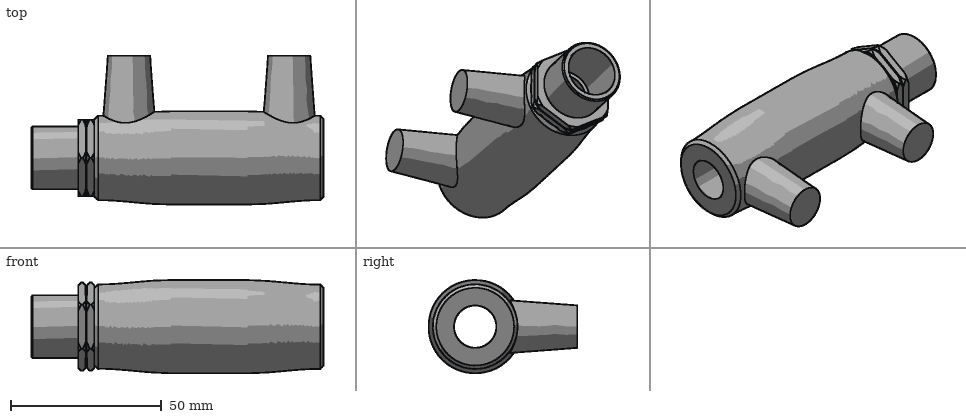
import cadquery as cq
import math

total_length = 97.0
spigot_length = 15.5
nut_width = 2.5
nut_gap = 0.4
nut_starts = [spigot_length, spigot_length + nut_width + nut_gap]
body_start = nut_starts[-1] + nut_width
belt_length = 25.4

belt_radius = 15.5
end_radius = 14.1
body_chamfer = 1.2

spigot_radius = 21.0 / 2
spigot_chamfer = 0.5
wide_bore_radius = 16.8 / 2
narrow_bore_radius = 14.0 / 2

nut_across_flats = 25.4
nut_across_corners = nut_across_flats / math.cos(math.radians(30))
nut_chamfer = 1.0

branch_centers = [32.4, 85.6]
branch_reach = 33.95
branch_tip_radius = 7.1
branch_taper = 4.3


def cylinder_x(radius, start, length):
    """Cylinder around the X axis."""
    return cq.Workplane("YZ", origin=(start, 0, 0)).circle(radius).extrude(length)


def make_body():
    """Revolved body with S-shaped transitions on both sides of the belt."""
    body_middle = (body_start + total_length) / 2
    belt_start = body_middle - belt_length / 2
    belt_end = body_middle + belt_length / 2
    rim_radius = end_radius - body_chamfer
    along_axis = (1, 0)
    profile = (
        cq.Workplane("XY")
        .moveTo(body_start, 0)
        .lineTo(body_start, rim_radius)
        .lineTo(body_start + body_chamfer, end_radius)
        .spline([(belt_start, belt_radius)], tangents=[along_axis, along_axis], includeCurrent=True)
        .lineTo(belt_end, belt_radius)
        .spline(
            [(total_length - body_chamfer, end_radius)],
            tangents=[along_axis, along_axis],
            includeCurrent=True,
        )
        .lineTo(total_length, rim_radius)
        .lineTo(total_length, 0)
        .close()
    )
    return profile.revolve(360, (0, 0, 0), (1, 0, 0))


def make_spigot():
    """Spigot with a chamfered mouth that also forms the neck under the nuts."""
    return cylinder_x(spigot_radius, 0, body_start).faces("<X").chamfer(spigot_chamfer)


def make_nut(start):
    """Hexagon with corners up and down, bevelled at the corners on both faces."""
    hexagon = (
        cq.Workplane("YZ", origin=(start, 0, 0))
        .transformed(rotate=(0, 0, 90))
        .polygon(6, nut_across_corners)
        .extrude(nut_width)
    )
    bevel = cylinder_x(nut_across_corners / 2, start, nut_width).edges().chamfer(nut_chamfer)
    return hexagon.intersect(bevel)


def make_branch(center):
    """Cone from the main axis out to the branch tip."""
    root_radius = branch_tip_radius + branch_reach * math.tan(math.radians(branch_taper))
    cone = cq.Solid.makeCone(
        root_radius, branch_tip_radius, branch_reach, pnt=(center, 0, 0), dir=(0, 1, 0)
    )
    return cq.Workplane(cone)


result = make_body().union(make_spigot())
for nut_start in nut_starts:
    result = result.union(make_nut(nut_start))
for branch_center in branch_centers:
    result = result.union(make_branch(branch_center))

result = result.cut(cylinder_x(wide_bore_radius, 0, body_start))
result = result.cut(cylinder_x(narrow_bore_radius, 0, total_length))